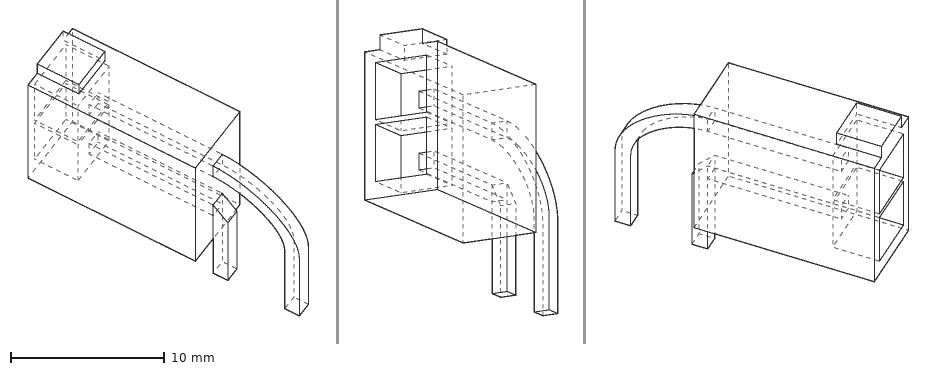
import cadquery as cq
import math


housing_length = 12.9
housing_width = 5.5
housing_height = 10.0

tab_size = 3.2
tab_height = 1.0

socket_side_wall = 0.82
socket_size = housing_width - 2 * socket_side_wall
socket_depth = 3.35
socket_pitch = 4.18
lower_socket_z = 3.07
upper_socket_z = lower_socket_z + socket_pitch

pin_thickness = 1.13
tail_spacing = 5.51
tail_end_z = -3.7

bend_end_z = lower_socket_z - pin_thickness / 2
rear_face_x = housing_length


def block_from_face(start_x, length, width, height, center_z):
    """Box that starts at start_x, runs along +X and is centered on Y = 0 and center_z."""
    center = (start_x + length / 2, 0, center_z)
    return cq.Workplane("XY").box(length, width, height).translate(center)


def make_housing():
    """Housing with its latch tab, sockets and the holes that hold the pins."""
    body = block_from_face(0, housing_length, housing_width, housing_height, housing_height / 2)
    tab_z = housing_height + tab_height / 2
    body = body.union(block_from_face(0, tab_size, tab_size, tab_height, tab_z))
    for socket_z in (lower_socket_z, upper_socket_z):
        socket = block_from_face(0, socket_depth, socket_size, socket_size, socket_z)
        pin_hole = block_from_face(0, housing_length, pin_thickness, pin_thickness, socket_z)
        body = body.cut(socket).cut(pin_hole)
    return body.solids()


def extrude_pin(outline):
    """Give a closed XZ outline the pin thickness, centered on Y = 0."""
    pin = outline.close().extrude(pin_thickness)
    return pin.translate((0, pin_thickness / 2, 0)).solids()


def make_lower_pin():
    """Pin whose tail drops along the rear face, with a 45 degree cut across the corner."""
    top_z = lower_socket_z + pin_thickness / 2
    tail_outer_x = rear_face_x + pin_thickness
    outline = (
        cq.Workplane("XZ")
        .moveTo(socket_depth, top_z)
        .lineTo(rear_face_x, top_z)
        .lineTo(tail_outer_x, bend_end_z)
        .lineTo(tail_outer_x, tail_end_z)
        .lineTo(rear_face_x, tail_end_z)
        .lineTo(rear_face_x, bend_end_z)
        .lineTo(socket_depth, bend_end_z)
    )
    return extrude_pin(outline)


def bend_curve(start_z, end_x):
    """Control points of a bend that leaves the rear face level and ends pointing straight down.

    Both end handles are a third of the straight distance between the ends.
    """
    handle = math.hypot(end_x - rear_face_x, start_z - bend_end_z) / 3
    return [
        (rear_face_x, start_z),
        (rear_face_x + handle, start_z),
        (end_x, bend_end_z + handle),
        (end_x, bend_end_z),
    ]


def make_upper_pin():
    """Pin that sweeps out and down in a smooth bend to the far tail."""
    top_z = upper_socket_z + pin_thickness / 2
    bottom_z = upper_socket_z - pin_thickness / 2
    tail_inner_x = rear_face_x + tail_spacing
    tail_outer_x = tail_inner_x + pin_thickness
    outer_bend = bend_curve(top_z, tail_outer_x)
    inner_bend = bend_curve(bottom_z, tail_inner_x)
    outline = (
        cq.Workplane("XZ")
        .moveTo(socket_depth, top_z)
        .lineTo(rear_face_x, top_z)
        .bezier(outer_bend)
        .lineTo(tail_outer_x, tail_end_z)
        .lineTo(tail_inner_x, tail_end_z)
        .lineTo(tail_inner_x, bend_end_z)
        .bezier(inner_bend[::-1])
        .lineTo(socket_depth, bottom_z)
    )
    return extrude_pin(outline)


housing = make_housing()
lower_pin = make_lower_pin()
upper_pin = make_upper_pin()

result = cq.Compound.makeCompound([housing.val(), lower_pin.val(), upper_pin.val()])